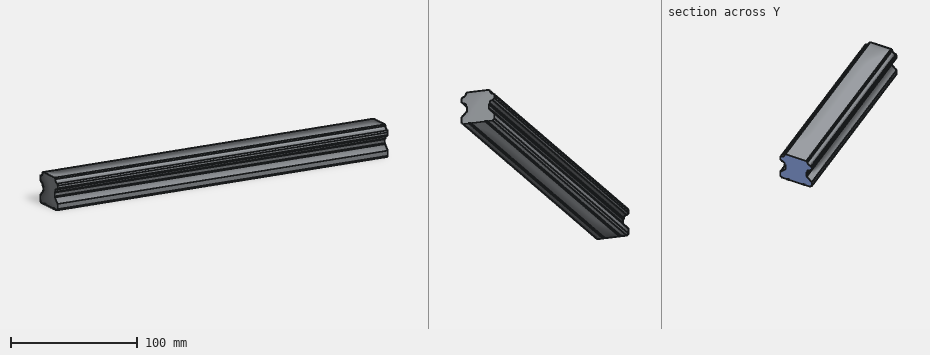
import cadquery as cq

rail_length = 300.0
rail_width = 28.0
rail_height = 26.0
half_width = rail_width / 2

base_chamfer = 1.5
flange_wall_top = 5.7

web_half_width = 9.3
web_bottom_z = 10.8
web_top_z = 13.8
lower_bevel_width = 0.3
lower_bevel_height = 1.0
upper_bevel_height = 1.0

groove_edge = 12.0
groove_root = 10.2
upper_groove_mid = (10.8, 23.5)
lower_groove_mid = (10.5, 16.5)
lower_groove_end_z = 15.3

shoulder_bottom_z = 17.0
shoulder_bottom_chamfer = 1.5
shoulder_top_z = 22.5
shoulder_flat_drop = 0.3
shoulder_top_chamfer_width = 0.5
shoulder_top_chamfer_height = 1.5

top_chamfer = 1.05

base_groove_offset = 7.0
base_groove_width = 1.2
base_groove_depth = 0.5


def half_section():
    """Section of the +X half of the rail, closed along the centre plane."""
    shoulder_outer_z = shoulder_top_z - shoulder_flat_drop
    return (
        cq.Workplane("XZ")
        .moveTo(0, 0)
        .lineTo(half_width - base_chamfer, 0)
        .lineTo(half_width, base_chamfer)
        .lineTo(half_width, flange_wall_top)
        .lineTo(web_half_width + lower_bevel_width, web_bottom_z - lower_bevel_height)
        .lineTo(web_half_width, web_bottom_z)
        .lineTo(web_half_width, web_top_z)
        .lineTo(groove_root, web_top_z + upper_bevel_height)
        .lineTo(groove_root, lower_groove_end_z)
        .threePointArc(lower_groove_mid, (groove_edge, shoulder_bottom_z))
        .lineTo(half_width - shoulder_bottom_chamfer, shoulder_bottom_z)
        .lineTo(half_width, shoulder_bottom_z + shoulder_bottom_chamfer)
        .lineTo(half_width, shoulder_outer_z - shoulder_top_chamfer_height)
        .lineTo(half_width - shoulder_top_chamfer_width, shoulder_outer_z)
        .lineTo(groove_edge, shoulder_top_z)
        .threePointArc(upper_groove_mid, (groove_root, rail_height - top_chamfer))
        .lineTo(groove_root - top_chamfer, rail_height)
        .lineTo(0, rail_height)
        .close()
    )


def base_groove():
    """Bar that cuts the narrow groove along the +X half of the underside."""
    return (
        cq.Workplane("XY")
        .center(base_groove_offset, 0)
        .rect(base_groove_width, rail_length)
        .extrude(base_groove_depth)
    )


half_rail = half_section().extrude(rail_length / 2, both=True).cut(base_groove())
result = half_rail.union(half_rail.mirror("YZ")).clean()